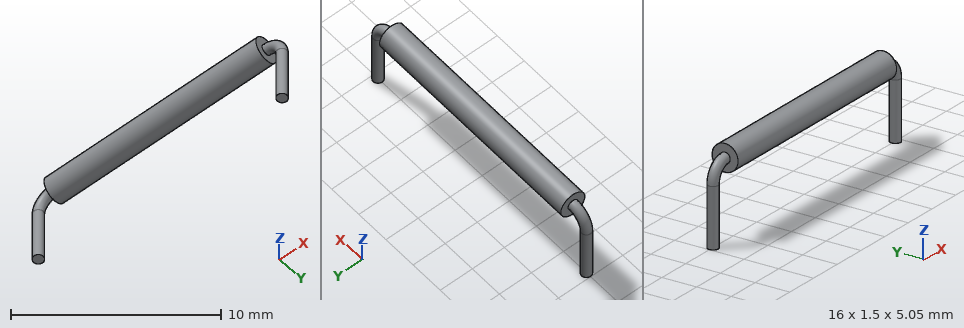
import cadquery as cq

overall_length = 15.97
overall_height = 5.05
wire_diameter = 0.6
body_diameter = 1.5
bend_radius = 1.0

leg_x = (overall_length - wire_diameter) / 2
bend_start_x = leg_x - bend_radius
leg_bottom_z = body_diameter / 2 - overall_height
body_length = 2 * bend_start_x


def cylindrical_body():
    """Solid cylinder between the two bends."""
    left_end = cq.Workplane("YZ").workplane(offset=-bend_start_x)
    return left_end.circle(body_diameter / 2).extrude(body_length)


def bent_lead(side):
    """Wire lead leaving the body end, turning down; side is -1 or +1 along X."""
    centreline = (
        cq.Workplane("XZ")
        .moveTo(0, 0)
        .lineTo(side * bend_start_x, 0)
        .tangentArcPoint((side * leg_x, -bend_radius), relative=False)
        .lineTo(side * leg_x, leg_bottom_z)
    )
    return cq.Workplane("YZ").circle(wire_diameter / 2).sweep(centreline)


result = cylindrical_body()
for side in (-1, 1):
    result = result.union(bent_lead(side))